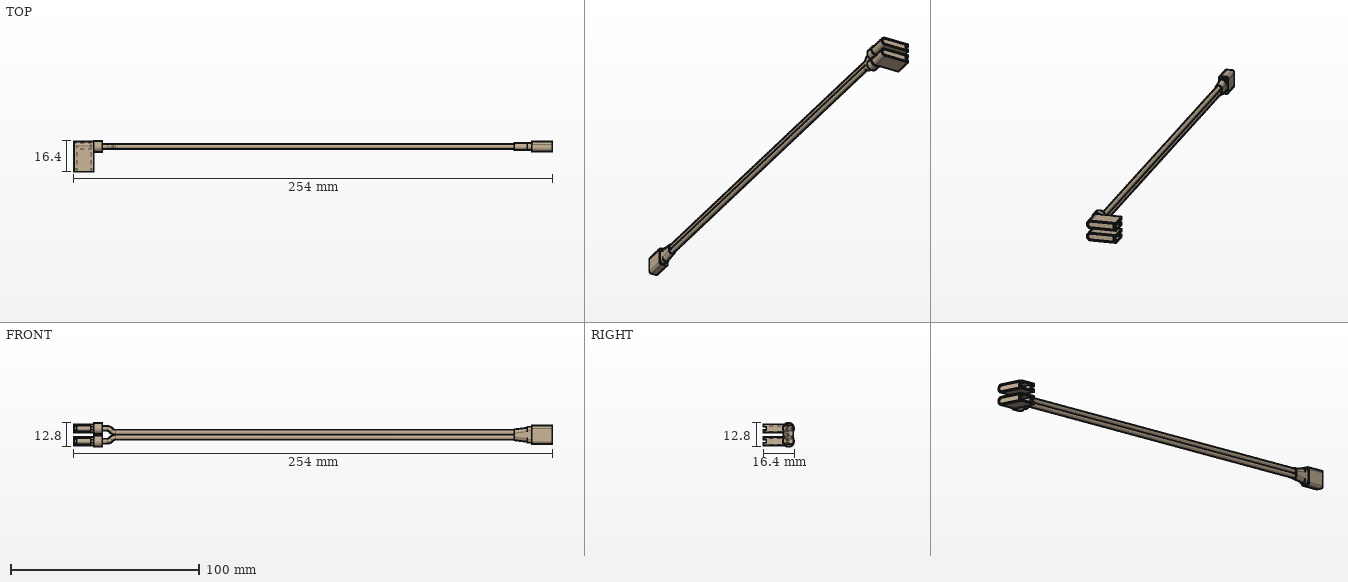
import cadquery as cq
import math

TOTAL_LENGTH = 254.0
LEG_SPACING = 6.8
WIRE_RADIUS = 1.35
SIDES = (1, -1)

HOUSING_LENGTH = 10.6
HOUSING_HALF_HEIGHT = 2.3
HOUSING_BACK_Y = 2.7
HOUSING_ROUND_Y = HOUSING_BACK_Y - HOUSING_HALF_HEIGHT
HOUSING_MOUTH_Y = -13.45
CAVITY_HALF_HEIGHT = 1.5
END_WALL = 1.6
NOTCH_DEPTH = 1.6
NOTCH_HEIGHT = 1.6
COLLAR_RADIUS = 3.0
COLLAR_LENGTH = 4.6
COLLAR_END = HOUSING_LENGTH + COLLAR_LENGTH

CAVITY_LENGTH = HOUSING_LENGTH - END_WALL
BARREL_RADIUS = CAVITY_HALF_HEIGHT

BEND_START = 17.6
BEND_END = 22.0

BOOT_THICKNESS = 3.8
BOOT_START = 233.9
BOOT_STEP = 240.7
BOOT_START_HEIGHT = 5.9
BOOT_TAPER_HEIGHT = 7.6
BOOT_COLLAR_HEIGHT = 8.6

PLUG_LENGTH = 10.9
PLUG_THICKNESS = 5.4
PLUG_HEIGHT = 9.9
PLUG_EDGE_RADIUS = 1.4
PLUG_START = TOTAL_LENGTH - PLUG_LENGTH


def u_prism(start_x, length, half_height):
    """Block along X with a half-cylinder back at +Y and a flat mouth at -Y."""
    return (
        cq.Workplane("YZ", origin=(start_x, 0, 0))
        .moveTo(HOUSING_MOUTH_Y, -half_height)
        .lineTo(HOUSING_ROUND_Y, -half_height)
        .threePointArc((HOUSING_ROUND_Y + half_height, 0), (HOUSING_ROUND_Y, half_height))
        .lineTo(HOUSING_MOUTH_Y, half_height)
        .close()
        .extrude(length)
    )


def cut_mouth_notch(body):
    """Cut the slot that runs along X through the middle of the mouth."""
    notch = (
        cq.Workplane("XY", origin=(0, HOUSING_MOUTH_Y, 0))
        .box(HOUSING_LENGTH, NOTCH_DEPTH, NOTCH_HEIGHT, centered=(False, False, True))
    )
    return body.cut(notch)


def make_housing(center_z):
    """Flag hood, open towards -Y and -X, with a round collar for the wire."""
    hood = u_prism(0, HOUSING_LENGTH, HOUSING_HALF_HEIGHT)
    cavity = u_prism(0, CAVITY_LENGTH, CAVITY_HALF_HEIGHT)
    collar = (
        cq.Workplane("YZ", origin=(HOUSING_LENGTH, 0, 0))
        .circle(COLLAR_RADIUS)
        .extrude(COLLAR_LENGTH)
    )
    return cut_mouth_notch(hood.cut(cavity)).union(collar).translate((0, 0, center_z))


def make_terminal(center_z):
    """Plate that closes the -X end of the cavity, with a round barrel along the cavity's back."""
    plate = cut_mouth_notch(u_prism(0, END_WALL, CAVITY_HALF_HEIGHT))
    barrel = (
        cq.Workplane("YZ", origin=(0, HOUSING_ROUND_Y, 0))
        .circle(BARREL_RADIUS)
        .extrude(CAVITY_LENGTH)
    )
    return plate.union(barrel).translate((0, 0, center_z))


def make_wire(side):
    """Wire that leaves its collar, S-bends towards the other wire and runs beside it to the boot."""
    leg_z = side * LEG_SPACING / 2
    run_z = side * WIRE_RADIUS
    bend_length = BEND_END - BEND_START
    offset = abs(leg_z - run_z)
    bend_radius = (bend_length**2 + offset**2) / (4 * offset)
    half_angle = math.asin(bend_length / (2 * bend_radius)) / 2
    arc_dx = bend_radius * math.sin(half_angle)
    arc_dz = side * bend_radius * (1 - math.cos(half_angle))
    middle = ((BEND_START + BEND_END) / 2, (leg_z + run_z) / 2)
    path = (
        cq.Workplane("XZ")
        .moveTo(COLLAR_END, leg_z)
        .lineTo(BEND_START, leg_z)
        .threePointArc((BEND_START + arc_dx, leg_z - arc_dz), middle)
        .threePointArc((BEND_END - arc_dx, run_z + arc_dz), (BEND_END, run_z))
        .lineTo(BOOT_START, run_z)
    )
    return cq.Workplane("YZ", origin=(COLLAR_END, 0, leg_z)).circle(WIRE_RADIUS).sweep(path)


def stadium(x, height):
    """Round-ended boot section, upright in Z."""
    return cq.Workplane("YZ", origin=(x, 0, 0)).slot2D(height, BOOT_THICKNESS, 90)


def make_boot():
    """Tapered strain relief with a wider straight collar against the plug."""
    taper = (
        stadium(BOOT_START, BOOT_START_HEIGHT)
        .workplane(offset=BOOT_STEP - BOOT_START)
        .slot2D(BOOT_TAPER_HEIGHT, BOOT_THICKNESS, 90)
        .loft(ruled=True)
    )
    collar = stadium(BOOT_STEP, BOOT_COLLAR_HEIGHT).extrude(PLUG_START - BOOT_STEP)
    return taper.union(collar)


def make_plug():
    """Rectangular plug with rounded long edges."""
    return (
        cq.Workplane("YZ", origin=(PLUG_START, 0, 0))
        .rect(PLUG_THICKNESS, PLUG_HEIGHT)
        .extrude(PLUG_LENGTH)
        .edges("|X")
        .fillet(PLUG_EDGE_RADIUS)
    )


housings = [make_housing(side * LEG_SPACING / 2) for side in SIDES]
terminals = [make_terminal(side * LEG_SPACING / 2) for side in SIDES]
wires = [make_wire(side) for side in SIDES]
boot = make_boot()
plug = make_plug()

bodies = [*housings, *terminals, *wires, boot, plug]
result = cq.Compound.makeCompound([body.val() for body in bodies])